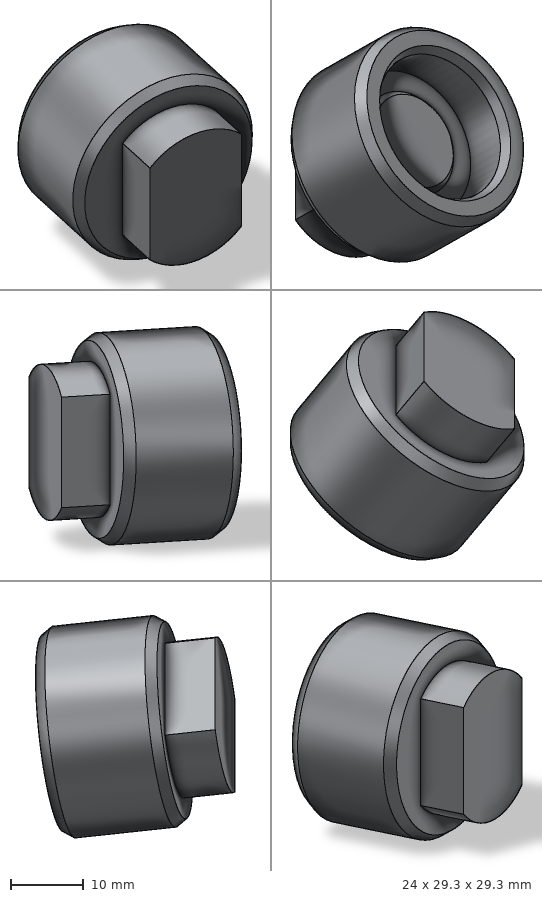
import cadquery as cq

collar_diameter = 29.3
collar_length = 17.0
rim_bevel_length = 1.5
rim_bevel_depth = 1.0

bore_diameter = 21.3
bore_depth = 8.0
mouth_diameter = 22.85
mouth_bevel_length = 1.35

pad_base_diameter = 15.3
pad_top_diameter = 13.7
pad_height = 1.0

stub_diameter = 21.55
stub_length = 7.0
stub_width_across_flats = 14.95


def revolve_about_x(points):
    """Revolve an (x, radius) outline about the X axis."""
    return cq.Workplane("XY").polyline(points).close().revolve(360, (0, 0, 0), (1, 0, 0))


def make_collar():
    radius = collar_diameter / 2
    rim_radius = radius - rim_bevel_depth
    return revolve_about_x([
        (0, 0),
        (0, rim_radius),
        (rim_bevel_length, radius),
        (collar_length - rim_bevel_length, radius),
        (collar_length, rim_radius),
        (collar_length, 0),
    ])


def make_bore():
    """Bore volume, leaving the tapered pad standing on its floor."""
    return revolve_about_x([
        (0, 0),
        (0, mouth_diameter / 2),
        (mouth_bevel_length, bore_diameter / 2),
        (bore_depth, bore_diameter / 2),
        (bore_depth, pad_base_diameter / 2),
        (bore_depth - pad_height, pad_top_diameter / 2),
        (bore_depth - pad_height, 0),
    ])


def make_stub():
    end_plane = cq.Workplane("YZ", origin=(collar_length, 0, 0))
    round_stub = end_plane.circle(stub_diameter / 2).extrude(stub_length)
    flats = end_plane.rect(stub_width_across_flats, stub_diameter).extrude(stub_length)
    return round_stub.intersect(flats)


result = make_collar().union(make_stub()).cut(make_bore())